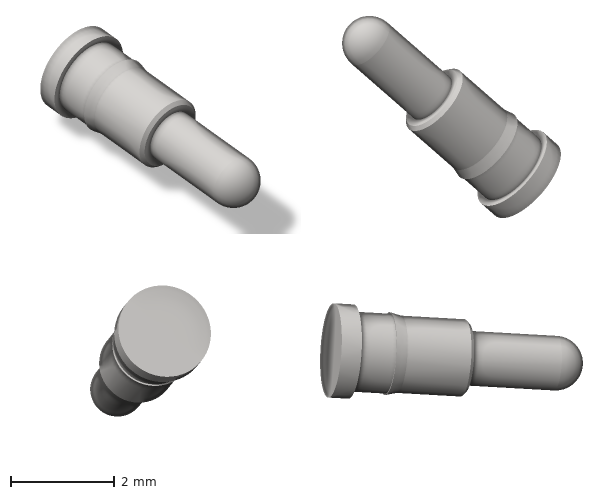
import cadquery as cq

total_length = 5.0

flange_radius = 1.83 / 2
flange_length = 0.4

neck_radius = 1.55 / 2
neck_end = 1.12

barb_radius = 1.61 / 2
barb_length = 0.23
barb_end = neck_end + barb_length

barrel_radius = 1.5 / 2
barrel_end = 2.69
barrel_chamfer = 0.07

plunger_radius = 1.06 / 2
tip_start = total_length - plunger_radius
tip_middle = plunger_radius * 0.5 ** 0.5

profile = (
    cq.Workplane("XY")
    .moveTo(0, 0)
    .lineTo(0, flange_radius)
    .lineTo(flange_length, flange_radius)
    .lineTo(flange_length, neck_radius)
    .lineTo(neck_end, neck_radius)
    .lineTo(neck_end, barb_radius)
    .lineTo(barb_end, barrel_radius)
    .lineTo(barrel_end - barrel_chamfer, barrel_radius)
    .lineTo(barrel_end, barrel_radius - barrel_chamfer)
    .lineTo(barrel_end, plunger_radius)
    .lineTo(tip_start, plunger_radius)
    .threePointArc((tip_start + tip_middle, tip_middle), (total_length, 0))
    .close()
)

result = profile.revolve(360, (0, 0, 0), (1, 0, 0))